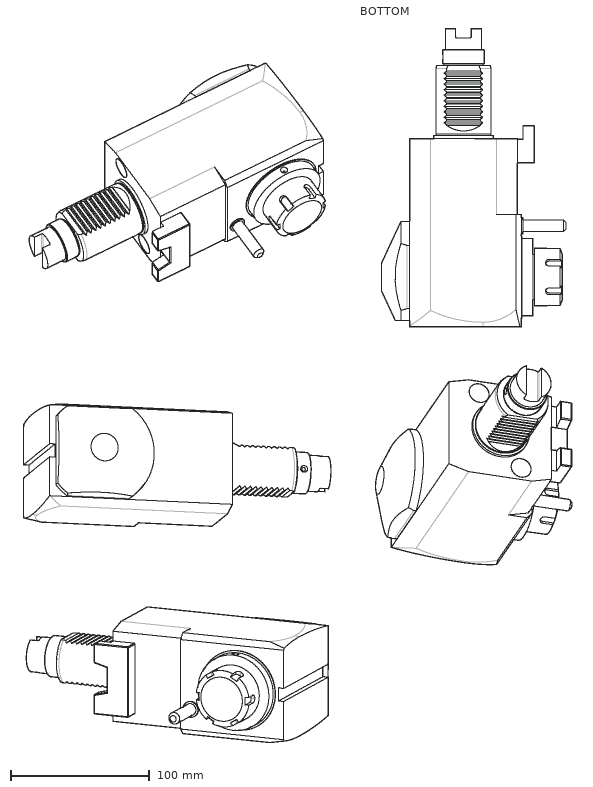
import cadquery as cq
import math


overall_length = 215.0
housing_length = 135.7
housing_height = 75.0
half_height = housing_height / 2
side_x = 39.0
chamfer_start_x = 23.9
chamfer_angle = 15
spindle_side_x = 41.7
corner_turn_radius = 53.3
relief_length = 54.6
notch_depth = 4.0
notch_width = 9.7

crown_peak_x = 14.0
crown_peak_y = 132.5
crown_flat_radius = 88.2
crown_tight_radius = 35.5
crown_slope = 0.2

spindle_y = 99.8
cap_radius = 40.2
cap_tip_radius = 10.0
cap_rim_x = -45.2
cap_tip_x = -59.1
cap_half_height = 33.1
cap_flat_y = 31.4
cap_taper_start_x = -40.6
cap_taper_angle = 12

seat_radius = 29.5
seat_x = 42.4
flange_radius = 28.0
flange_x = 50.0
neck_radius = 16.3
nut_start_x = 51.2
nut_radius = 20.9
nut_end_x = 71.4
nut_bevel_length = 1.7
nut_face_radius = 16.3
nut_slot_count = 6
nut_slot_width = 5.5
nut_slot_corner = 2.5
nut_slot_start_x = 59.3
nut_slot_depth = 2.8
flange_hole_radius = 2.5
flange_hole_floor_radius = 0.6
flange_hole_depth = 2.0

pin_y = 62.8
pin_z = -17.6
pin_radius = 4.3
pin_end_x = 74.0
pin_tip_bevel = 2.0
pin_collar_radius = 5.8
pin_collar_x = 42.8

key_x = 51.4
key_half_width = 26.2
key_shoulder_setback = 0.2
key_center_setback = 0.6
key_top = 17.6
key_arm_x = 42.8
key_arm_length = 9.7
key_gap_half_width = 9.2
key_arm_draft = 2.5
key_edge_break = 0.6

collar_radius = 21.5
collar_length = 2.4
undercut_length = 1.0
undercut_radius = 19.5
shank_radius = 20.0
shank_end = 52.9
shank_bevel_length = 2.4
shank_bevel = 0.6
flat_z = 16.0
flat_start = 9.7
tooth_count = 10
first_tooth = 11.5
last_tooth = 47.3
tooth_pitch = (last_tooth - first_tooth) / (tooth_count - 1)
tooth_depth = 1.5

gland_radius = 15.0
gland_start = 53.8
gland_end = 64.3
gland_neck_radius = 14.2
gland_edge_break = 0.5
gland_hole_y = -59.0
gland_hole_radius = 2.5
gland_hole_depth = 1.7
gland_hole_floor_radius = 1.3
drive_radius = 13.1
drive_slot_width = 11.2
drive_slot_depth = 6.7
drive_slot_corner = 0.9
shank_length = overall_length - housing_length

plug_x = 16.0
plug_z = 28.0
plug_radius = 7.5
plug_recess = 0.2

overlap = 2.2
clearance = 21.5


def box(x_range, y_range, z_range):
    """Box between the given limits."""
    size = [high - low for low, high in (x_range, y_range, z_range)]
    corner = (x_range[0], y_range[0], z_range[0])
    return cq.Workplane("XY").box(*size, centered=False).translate(corner)


def pin_disc(radius, start_x, end_x):
    """Cylinder on the axis of the coolant pin."""
    return cq.Workplane("YZ", origin=(start_x, pin_y, pin_z)).circle(radius).extrude(end_x - start_x)


def spindle_turned(points):
    """Body turned about the spindle axis from (x, radius) points."""
    profile = cq.Workplane("XY", origin=(0, spindle_y, 0)).polyline(points).close()
    return profile.revolve(360, (0, 0), (1, 0))


def conical_hole(plane, mouth_radius, floor_radius, depth):
    """Hole that narrows from its mouth on the plane to its floor."""
    return plane.circle(mouth_radius).workplane(offset=depth).circle(floor_radius).loft()


def mirrored_pair(body):
    """Body together with its mirror image below Z = 0."""
    return body.union(body.mirror("XY"))


def crown_cutter():
    """Volume above the sloping crowned surface at the far end of the top face."""
    reach_left = crown_peak_x + side_x + overlap
    reach_right = spindle_side_x + overlap - crown_peak_x
    center_left = crown_peak_y - crown_flat_radius
    center_right = crown_peak_y - crown_tight_radius

    def left_point(distance):
        return (crown_peak_x - distance, center_left + math.sqrt(crown_flat_radius**2 - distance**2))

    def right_point(distance):
        return (crown_peak_x + distance, center_right + math.sqrt(crown_tight_radius**2 - distance**2))

    far_y = housing_length + clearance
    outline = (
        cq.Workplane("XY", origin=(0, 0, half_height))
        .moveTo(*left_point(reach_left))
        .threePointArc(left_point(reach_left / 2), (crown_peak_x, crown_peak_y))
        .threePointArc(right_point(reach_right / 2), right_point(reach_right))
        .lineTo(crown_peak_x + reach_right, far_y)
        .lineTo(crown_peak_x - reach_left, far_y)
        .close()
    )
    slide = cq.Vector(0, clearance, -clearance * crown_slope)
    return cq.Workplane(cq.Solid.extrudeLinear(outline.val(), [], slide))


def housing():
    """Body with chamfered edges, turned +X corners, a narrower root and a notch in the far end."""
    side_z = half_height - (side_x - chamfer_start_x) * math.tan(math.radians(chamfer_angle))
    left_half = [
        (-chamfer_start_x, -half_height),
        (-side_x, -side_z),
        (-side_x, side_z),
        (-chamfer_start_x, half_height),
    ]
    right_half = [(-x, z) for x, z in reversed(left_half)]
    relieved = cq.Workplane("XZ").polyline(left_half + right_half).close().extrude(-relief_length)

    square_right = [(spindle_side_x, half_height), (spindle_side_x, -half_height)]
    full = (
        cq.Workplane("XZ", origin=(0, relief_length, 0))
        .polyline(left_half + square_right)
        .close()
        .extrude(relief_length - housing_length)
    )
    turned = cq.Workplane("XZ").circle(corner_turn_radius).extrude(-housing_length)
    body = relieved.union(full.intersect(turned))

    body = body.cut(mirrored_pair(crown_cutter()))
    notch = box(
        (-side_x - overlap, spindle_side_x + overlap),
        (housing_length - notch_depth, housing_length + overlap),
        (-notch_width / 2, notch_width / 2),
    )
    body = body.cut(notch)
    for sign in (-1, 1):
        plug = cq.Workplane("XZ", origin=(sign * plug_x, 0, -sign * plug_z)).circle(plug_radius)
        body = body.cut(plug.extrude(-plug_recess))
    return body


def rear_cap():
    """Conical cap trimmed flat at the top, the bottom and the far end."""
    root_x = -side_x + overlap
    cap = spindle_turned([
        (root_x, 0),
        (root_x, cap_radius),
        (cap_rim_x, cap_radius),
        (cap_tip_x, cap_tip_radius),
        (cap_tip_x, 0),
    ])
    taper_run = cap_taper_start_x - cap_tip_x
    tip_half_height = cap_half_height - taper_run * math.tan(math.radians(cap_taper_angle))
    trim = (
        cq.Workplane("XZ", origin=(0, spindle_y + cap_flat_y, 0))
        .polyline([
            (root_x, -cap_half_height),
            (root_x, cap_half_height),
            (cap_taper_start_x, cap_half_height),
            (cap_tip_x, tip_half_height),
            (cap_tip_x, -tip_half_height),
            (cap_taper_start_x, -cap_half_height),
        ])
        .close()
        .extrude(cap_flat_y + cap_radius)
    )
    return cap.intersect(trim)


def spindle_nose():
    """Bearing flange with its screw hole and the slotted collet nut."""
    nut_bevel_x = nut_end_x - nut_bevel_length
    root_x = spindle_side_x - overlap
    nose = spindle_turned([
        (root_x, 0),
        (root_x, seat_radius),
        (seat_x, seat_radius),
        (seat_x, flange_radius),
        (flange_x, flange_radius),
        (flange_x, neck_radius),
        (nut_start_x, neck_radius),
        (nut_start_x, nut_radius),
        (nut_bevel_x, nut_radius),
        (nut_end_x, nut_face_radius),
        (nut_end_x, 0),
    ])
    slot = (
        box(
            (nut_slot_start_x, nut_end_x + overlap),
            (-nut_slot_width / 2, nut_slot_width / 2),
            (nut_radius - nut_slot_depth, nut_radius + overlap),
        )
        .edges("|Z and <X")
        .fillet(nut_slot_corner)
    )
    for index in range(nut_slot_count):
        angle = 90 + index * 360 / nut_slot_count
        nose = nose.cut(slot.rotate((0, 0, 0), (1, 0, 0), angle).translate((0, spindle_y, 0)))

    hole_x = (seat_x + flange_x) / 2
    hole_plane = cq.Workplane("XY", origin=(hole_x, spindle_y, flange_radius))
    hole = conical_hole(hole_plane, flange_hole_radius, flange_hole_floor_radius, -flange_hole_depth)
    return nose.cut(hole)


def coolant_pin():
    """Bevelled pin with a collar at its root."""
    root_x = spindle_side_x - overlap
    collar = pin_disc(pin_collar_radius, root_x, pin_collar_x)
    pin = pin_disc(pin_radius, root_x, pin_end_x).faces(">X").chamfer(pin_tip_bevel)
    return collar.union(pin)


def locating_key():
    """Block on the +X side with two arms reaching past the mounting face."""
    root_x = side_x - overlap
    block = box((root_x, key_x), (key_shoulder_setback, key_top), (-key_half_width, key_half_width))
    arm = (
        cq.Workplane("YZ", origin=(key_arm_x, 0, 0))
        .polyline([
            (key_shoulder_setback, key_gap_half_width),
            (key_shoulder_setback, key_half_width),
            (-key_arm_length, key_half_width),
            (-key_arm_length, key_gap_half_width + key_arm_draft),
        ])
        .close()
        .extrude(key_x - key_arm_x)
    )
    gap = box(
        (side_x, key_x + overlap),
        (-key_arm_length, key_center_setback),
        (-key_gap_half_width, key_gap_half_width),
    )
    key = block.cut(gap).union(mirrored_pair(arm))
    return key.faces(">X or <Y or >Y").chamfer(key_edge_break)


def shank():
    """Turned collar, shank, gland ring and drive end."""
    undercut_end = collar_length + undercut_length
    profile = [
        (0, overlap),
        (collar_radius, overlap),
        (collar_radius, -collar_length),
        (undercut_radius, -collar_length),
        (undercut_radius, -undercut_end),
        (shank_radius, -undercut_end),
        (shank_radius, shank_bevel_length - shank_end),
        (shank_radius - shank_bevel, -shank_end),
        (gland_neck_radius, -shank_end),
        (gland_neck_radius, -gland_start),
        (gland_radius - gland_edge_break, -gland_start),
        (gland_radius, -gland_start - gland_edge_break),
        (gland_radius, gland_edge_break - gland_end),
        (gland_radius - gland_edge_break, -gland_end),
        (drive_radius, -gland_end),
        (drive_radius, -shank_length),
        (0, -shank_length),
    ]
    return cq.Workplane("XY").polyline(profile).close().revolve(360, (0, 0), (0, 1))


def tooth_cutter():
    """Flat with a 45 degree run-out and V grooves across the top of the shank."""
    top_z = shank_radius + overlap
    flat = (
        cq.Workplane("YZ", origin=(-shank_radius, 0, 0))
        .polyline([
            (-shank_end, flat_z),
            (-flat_start, flat_z),
            (-flat_start + top_z - flat_z, top_z),
            (-shank_end, top_z),
        ])
        .close()
        .extrude(2 * shank_radius)
        .intersect(cq.Workplane("XZ", origin=(0, -collar_length, 0)).circle(top_z).extrude(shank_end))
    )
    for index in range(tooth_count):
        groove_y = -first_tooth - index * tooth_pitch
        groove = (
            cq.Workplane("YZ", origin=(-shank_radius, groove_y, flat_z))
            .polyline([(-tooth_depth, 0), (0, -tooth_depth), (tooth_depth, 0)])
            .close()
            .extrude(2 * shank_radius)
        )
        flat = flat.union(groove)
    return flat


def drive_cuts():
    """Driver slot across the shank end and the small socket in the side of the gland."""
    slot = (
        box(
            (-drive_slot_width / 2, drive_slot_width / 2),
            (-shank_length - overlap, drive_slot_depth - shank_length),
            (-drive_radius - overlap, drive_radius + overlap),
        )
        .edges("|Z and >Y")
        .fillet(drive_slot_corner)
    )
    hole_plane = cq.Workplane("YZ", origin=(-gland_radius, gland_hole_y, 0))
    socket = conical_hole(hole_plane, gland_hole_radius, gland_hole_floor_radius, gland_hole_depth)
    return slot.union(socket)


result = (
    housing()
    .union(rear_cap())
    .union(spindle_nose())
    .union(coolant_pin())
    .union(locating_key())
    .union(shank().cut(mirrored_pair(tooth_cutter())).cut(drive_cuts()))
)